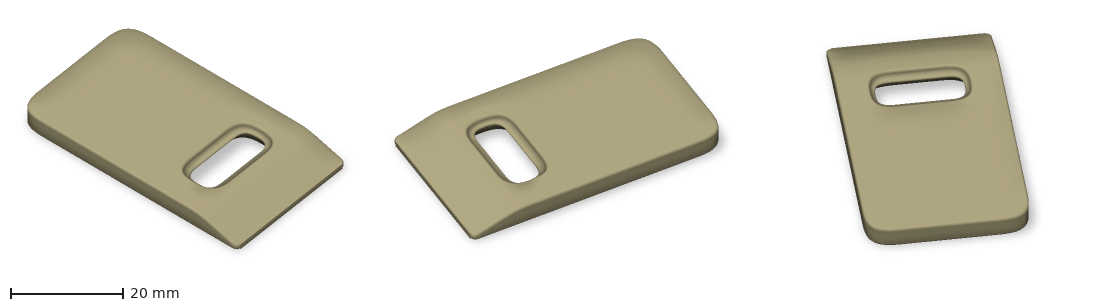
import cadquery as cq
import math

length = 51.75
width = 29.8
thickness = 4.0
edge_fillet = 0.5
rear_corner = 6.0
front_corner = 1.0
corner_fullness = 0.24

tip_height = 1.15
ramp_angle = 17.4
bend_length = 2.15

opening_x = 36.75
pocket_length = 18.0
pocket_width = 9.0
pocket_depth = 1.1
pocket_fillet = 0.49
slot_length = 16.15
slot_width = 5.95
slot_fillet = 0.3
flare_length = 18.95
flare_width = 10.1

half_width = width / 2
pocket_floor = thickness - pocket_depth
slope = math.tan(math.radians(ramp_angle))


def blended_corner(sketch, start, corner, end):
    """Round a corner with a curve that eases in and out of the straight sides."""
    handles = [
        tuple(c + corner_fullness * (p - c) for c, p in zip(corner, point))
        for point in (start, end)
    ]
    return sketch.bezier([start, *handles, end])


def slot_outline(size_x, size_y, height):
    """Closed slot along Y whose blended corners meet at the middle of each end."""
    x = size_x / 2
    y = size_y / 2
    straight = y - x
    sketch = cq.Workplane("XY", origin=(opening_x, 0, height)).moveTo(x, -straight).lineTo(x, straight)
    sketch = blended_corner(sketch, (x, straight), (x, y), (0, y))
    sketch = blended_corner(sketch, (0, y), (-x, y), (-x, straight))
    sketch = sketch.lineTo(-x, -straight)
    sketch = blended_corner(sketch, (-x, -straight), (-x, -y), (0, -y))
    sketch = blended_corner(sketch, (0, -y), (x, -y), (x, -straight))
    return sketch.close()


def side_profile(profile_width):
    """Side shape of the plate, centred on Y: flat top, rounded bend, straight ramp."""
    bend_x = length - (thickness - tip_height) / slope
    angle = math.radians(ramp_angle)
    radius = bend_length / math.tan(angle / 2)
    arc_start_x = bend_x - bend_length
    arc_middle = (
        arc_start_x + radius * math.sin(angle / 2),
        thickness - radius * (1 - math.cos(angle / 2)),
    )
    arc_end = (
        bend_x + bend_length * math.cos(angle),
        thickness - bend_length * math.sin(angle),
    )
    return (
        cq.Workplane("XZ")
        .lineTo(length, 0)
        .lineTo(length, tip_height)
        .lineTo(*arc_end)
        .threePointArc(arc_middle, (arc_start_x, thickness))
        .lineTo(0, thickness)
        .close()
        .extrude(profile_width / 2, both=True)
    )


def plan_outline():
    """Plan shape: blended corners at the thick end, small round ones at the thin end."""
    inner_y = half_width - rear_corner
    tip_y = half_width - front_corner
    tip_x = length - front_corner
    sketch = (
        cq.Workplane("XY")
        .moveTo(rear_corner, -half_width)
        .lineTo(tip_x, -half_width)
        .radiusArc((length, -tip_y), -front_corner)
        .lineTo(length, tip_y)
        .radiusArc((tip_x, half_width), -front_corner)
        .lineTo(rear_corner, half_width)
    )
    sketch = blended_corner(sketch, (rear_corner, half_width), (0, half_width), (0, inner_y))
    sketch = sketch.lineTo(0, -inner_y)
    sketch = blended_corner(sketch, (0, -inner_y), (0, -half_width), (rear_corner, -half_width))
    return sketch.close().extrude(thickness)


def plate():
    """Plate with rounded rims; the thin end stays sharp between its two corners."""
    rounded = plan_outline().intersect(side_profile(width)).edges("<X and |Y").fillet(edge_fillet)
    sharp_tip_width = width - 2 * front_corner
    tip_region = cq.Workplane("XY").box(
        front_corner, sharp_tip_width, thickness, centered=(False, True, False)
    ).translate((length - front_corner, 0, 0))
    return rounded.union(side_profile(sharp_tip_width).intersect(tip_region))


def opening_zone(size_x, size_y, height, reach):
    """Select what is centred over the opening, within the given reach above or below a height."""
    return cq.selectors.BoxSelector(
        (opening_x - size_x / 2, -size_y / 2, height - reach),
        (opening_x + size_x / 2, size_y / 2, height + reach),
    )


def cut_pocket(body):
    """Sink the pocket with a rounded floor and a rounded rim."""
    pocket = slot_outline(pocket_width, pocket_length, pocket_floor).extrude(2 * pocket_depth)
    body = body.cut(pocket.faces("<Z").edges().fillet(pocket_fillet))
    rim_width = pocket_width + pocket_fillet
    rim_length = pocket_length + pocket_fillet
    rim = opening_zone(rim_width, rim_length, thickness, pocket_fillet / 2)
    return body.edges(rim).fillet(pocket_fillet)


def cut_slot(body):
    """Cut the slot through the pocket floor, round its rim and flare it towards the underside."""
    body = body.cut(slot_outline(slot_width, slot_length, 0).extrude(pocket_floor))
    rim_width = slot_width + slot_fillet
    rim_length = slot_length + slot_fillet
    rim = opening_zone(rim_width, rim_length, pocket_floor, slot_fillet / 2)
    body = body.edges(rim).fillet(slot_fillet)
    flare = cq.Solid.makeLoft(
        [
            slot_outline(flare_width, flare_length, 0).val(),
            slot_outline(slot_width, slot_length, pocket_floor - slot_fillet).val(),
        ],
        True,
    )
    return body.cut(cq.Workplane(flare))


result = cut_slot(cut_pocket(plate()))